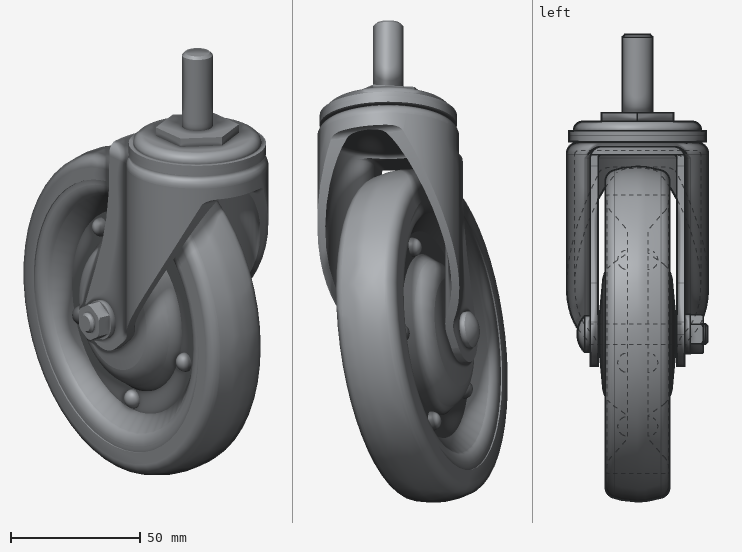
import cadquery as cq
import math


TOTAL_HEIGHT = 181.0
AXLE_RADIUS = 4.0
SHEET = 3.0
LEG_INNER_Y = 15.2
LEG_OUTER_Y = LEG_INNER_Y + SHEET
SEAT_RADIUS = 54.0

TYRE_RADIUS = 65.0
TYRE_HALF_WIDTH = 12.5
TREAD_HALF_WIDTH = 9.0
TREAD_EDGE_RADIUS = 63.5
SIDEWALL_RADIUS = 58.6
SHOULDER_MID = (62.0, 11.4)

WEB_HALF_WIDTH = 4.0
WEB_RADIUS = 40.4
FLANGE_HALF_WIDTH = 12.0
FLANGE_INNER_RADIUS = 51.8
FLANGE_BEND_START = (46.9, 9.6)
FLANGE_BEND_MID = (49.2, 11.4)
HUB_FOOT_RADIUS = 31.5
HUB_BEND_START = (28.6, 8.0)
HUB_BEND_MID = (25.5, 11.5)
HUB_BEND_END = (21.2, 13.4)
BOSS_RADIUS = 7.6
BOSS_FOOT_Y = 14.7
RIVET_COUNT = 5
RIVET_CIRCLE_RADIUS = 35.7
RIVET_RADIUS = 3.8

BOLT_HEAD_RADIUS = 7.0
BOLT_HEAD_RIM = 2.2
BOLT_HEAD_TOP_Y = 23.3
WASHER_RADIUS = 7.6
WASHER_THICKNESS = 2.2
NUT_FLATS = 13.0
NUT_HEIGHT = 5.0
NUT_CHAMFER = 0.5
BOLT_END_Y = -27.1
BOLT_CHAMFER = 0.9

STEM_X = 36.2
SKIRT_RADIUS = 27.5
FLAT_END_X = 12.3
PLATE_EDGE_RADIUS = 37.6
PLATE_TOP_Z = 72.5
PLATE_BOTTOM_Z = PLATE_TOP_Z - SHEET
PLATE_BEND = 4.3
LEG_END_RADIUS = 12.5
LEG_REAR_ANGLE = -52
LEG_LOW_ANGLE = -135
LEG_FRONT_ANGLE = -202
LEG_LINE_END = (-5.5, 19.9)
LEG_CURVE_MID = (1.0, 39.8)
LEG_TOP_X = 3.5
LEG_CURVE_TOP_Z = 65.2
SKIRT_HEM_Z = 64.8
SKIRT_NOTCH_START_X = 62.3
SKIRT_NOTCH_END = (59.2, 62.5)
SKIRT_CURVE_MID = (39.8, 24.0)

SHOULDER_TOP_Z = 74.2
SHOULDER_FILLET = 4.5
SHOULDER_BOTTOM_Z = PLATE_TOP_Z - PLATE_BEND
RING_RADIUS = 26.6
RING_BOTTOM_Z = 74.5
RING_SPLIT_Z = 77.0
RING_TOP_Z = 78.7
CAP_RADIUS = 24.8
CAP_FILLET = 3.6
CAP_TOP_Z = RING_TOP_Z + CAP_FILLET
HEX_FLATS = 28.0
HEX_TOP_Z = 85.8
STEM_RADIUS = 6.0
STEM_CHAMFER = 1.0
STEM_TOP_Z = TOTAL_HEIGHT - TYRE_RADIUS


def hex_diameter(flats):
    """Corner-to-corner size of a hexagon from its size across flats."""
    return flats / math.cos(math.pi / 6)


def revolve_about_y(profile):
    """Close a profile drawn in the XY plane and turn it about the wheel axis."""
    return profile.close().revolve(360, (0, 0, 0), (0, 1, 0))


def cylinder_y(radius, start_y, end_y):
    """Cylinder on the wheel axis between two Y positions."""
    return cq.Workplane("XZ", origin=(0, start_y, 0)).circle(radius).extrude(start_y - end_y)


def make_tyre():
    """Crowned tyre with rounded shoulders."""
    profile = (
        cq.Workplane("XY")
        .moveTo(SEAT_RADIUS, -TYRE_HALF_WIDTH)
        .lineTo(SIDEWALL_RADIUS, -TYRE_HALF_WIDTH)
        .threePointArc((SHOULDER_MID[0], -SHOULDER_MID[1]), (TREAD_EDGE_RADIUS, -TREAD_HALF_WIDTH))
        .threePointArc((TYRE_RADIUS, 0), (TREAD_EDGE_RADIUS, TREAD_HALF_WIDTH))
        .threePointArc(SHOULDER_MID, (SIDEWALL_RADIUS, TYRE_HALF_WIDTH))
        .lineTo(SEAT_RADIUS, TYRE_HALF_WIDTH)
    )
    return revolve_about_y(profile)


def make_rim():
    """Dished wheel with a domed hub, symmetric about its middle plane."""
    half_profile = (
        cq.Workplane("XY")
        .moveTo(AXLE_RADIUS, 0)
        .lineTo(SEAT_RADIUS, 0)
        .lineTo(SEAT_RADIUS, FLANGE_HALF_WIDTH)
        .lineTo(FLANGE_INNER_RADIUS, FLANGE_HALF_WIDTH)
        .threePointArc(FLANGE_BEND_MID, FLANGE_BEND_START)
        .lineTo(WEB_RADIUS, WEB_HALF_WIDTH)
        .lineTo(HUB_FOOT_RADIUS, WEB_HALF_WIDTH)
        .lineTo(*HUB_BEND_START)
        .threePointArc(HUB_BEND_MID, HUB_BEND_END)
        .lineTo(BOSS_RADIUS, BOSS_FOOT_Y)
        .lineTo(BOSS_RADIUS, LEG_INNER_Y)
        .lineTo(AXLE_RADIUS, LEG_INNER_Y)
    )
    half_rim = revolve_about_y(half_profile)
    for index in range(RIVET_COUNT):
        angle = math.radians(-90 + index * 360 / RIVET_COUNT)
        rivet_x = RIVET_CIRCLE_RADIUS * math.cos(angle)
        rivet_z = RIVET_CIRCLE_RADIUS * math.sin(angle)
        head = cq.Workplane("XY", origin=(rivet_x, WEB_HALF_WIDTH, rivet_z)).sphere(RIVET_RADIUS)
        half_rim = half_rim.union(head)
    return half_rim.union(half_rim.mirror("XZ"))


def make_axle_bolt():
    """Round-head bolt with its washer and nut."""
    head_rim_y = LEG_OUTER_Y + BOLT_HEAD_RIM
    dome_height = BOLT_HEAD_TOP_Y - head_rim_y
    dome_radius = (BOLT_HEAD_RADIUS**2 + dome_height**2) / (2 * dome_height)
    dome_mid_radius = BOLT_HEAD_RADIUS / 2
    dome_mid_y = BOLT_HEAD_TOP_Y - dome_radius + math.sqrt(dome_radius**2 - dome_mid_radius**2)
    bolt = revolve_about_y(
        cq.Workplane("XY")
        .moveTo(0, BOLT_END_Y)
        .lineTo(AXLE_RADIUS - BOLT_CHAMFER, BOLT_END_Y)
        .lineTo(AXLE_RADIUS, BOLT_END_Y + BOLT_CHAMFER)
        .lineTo(AXLE_RADIUS, LEG_OUTER_Y)
        .lineTo(BOLT_HEAD_RADIUS, LEG_OUTER_Y)
        .lineTo(BOLT_HEAD_RADIUS, head_rim_y)
        .threePointArc((dome_mid_radius, dome_mid_y), (0, BOLT_HEAD_TOP_Y))
    )

    nut_start_y = -LEG_OUTER_Y - WASHER_THICKNESS
    nut_end_y = nut_start_y - NUT_HEIGHT
    washer = cylinder_y(WASHER_RADIUS, -LEG_OUTER_Y, nut_start_y)

    nut = (
        cq.Workplane("XZ", origin=(0, nut_start_y, 0))
        .polygon(6, hex_diameter(NUT_FLATS))
        .extrude(NUT_HEIGHT)
        .rotate((0, 0, 0), (0, 1, 0), 30)
    )
    nut_blank = cylinder_y(hex_diameter(NUT_FLATS) / 2, nut_start_y, nut_end_y)
    nut = nut.intersect(nut_blank.faces("<Y").chamfer(NUT_CHAMFER))
    return bolt.union(washer).union(nut)


def fork_plan(leg_y, skirt_radius):
    """Keyhole outline seen along Z: two flats, concave bends and a round skirt about the stem."""
    flat_offset = STEM_X - FLAT_END_X
    bend = (flat_offset**2 + leg_y**2 - skirt_radius**2) / (2 * (skirt_radius - leg_y))
    bend_y = leg_y + bend
    ratio = skirt_radius / (skirt_radius + bend)
    touch = (STEM_X - flat_offset * ratio, bend_y * ratio)
    touch_angle = math.atan2(touch[1] - bend_y, touch[0] - FLAT_END_X)
    mid_angle = (touch_angle - math.pi / 2) / 2
    bend_mid = (FLAT_END_X + bend * math.cos(mid_angle), bend_y + bend * math.sin(mid_angle))
    return (
        cq.Workplane("XY", origin=(0, 0, -LEG_END_RADIUS))
        .moveTo(-LEG_END_RADIUS, leg_y)
        .lineTo(FLAT_END_X, leg_y)
        .threePointArc(bend_mid, touch)
        .threePointArc((STEM_X + skirt_radius, 0), (touch[0], -touch[1]))
        .threePointArc((bend_mid[0], -bend_mid[1]), (FLAT_END_X, -leg_y))
        .lineTo(-LEG_END_RADIUS, -leg_y)
        .close()
    )


def leg_end_point(degrees):
    """Point on the round leg end, at an angle about the axle."""
    angle = math.radians(degrees)
    return (LEG_END_RADIUS * math.cos(angle), LEG_END_RADIUS * math.sin(angle))


def fork_side():
    """Block whose XZ outline trims the legs and skirt."""
    plate_edge_x = STEM_X - PLATE_EDGE_RADIUS
    skirt_end_x = STEM_X + SKIRT_RADIUS
    rear_point = leg_end_point(LEG_REAR_ANGLE)
    leg_low_point = leg_end_point(LEG_LOW_ANGLE)
    return (
        cq.Workplane("XZ")
        .moveTo(plate_edge_x, RING_BOTTOM_Z)
        .lineTo(skirt_end_x, RING_BOTTOM_Z)
        .lineTo(skirt_end_x, SKIRT_HEM_Z)
        .lineTo(SKIRT_NOTCH_START_X, SKIRT_HEM_Z)
        .tangentArcPoint(SKIRT_NOTCH_END, relative=False)
        .threePointArc(SKIRT_CURVE_MID, rear_point)
        .threePointArc(leg_low_point, leg_end_point(LEG_FRONT_ANGLE))
        .lineTo(*LEG_LINE_END)
        .threePointArc(LEG_CURVE_MID, (LEG_TOP_X, LEG_CURVE_TOP_Z))
        .lineTo(LEG_TOP_X, PLATE_BOTTOM_Z)
        .lineTo(plate_edge_x, PLATE_BOTTOM_Z)
        .close()
        .extrude(SKIRT_RADIUS, both=True)
    )


def rounded_disc(radius, top_z, fillet):
    """Disc about the stem, up from the foot of the shoulder, with a rounded top edge."""
    disc = cq.Workplane("XY", origin=(STEM_X, 0, SHOULDER_BOTTOM_Z)).circle(radius)
    return disc.extrude(top_z - SHOULDER_BOTTOM_Z).faces(">Z").edges().fillet(fillet)


def make_shoulder():
    """Round top of the skirt, rising above the plate, with a narrow neck under the rings."""
    disc = rounded_disc(SKIRT_RADIUS, SHOULDER_TOP_Z, SHOULDER_FILLET)
    neck = (
        cq.Workplane("XY", origin=(STEM_X, 0, SHOULDER_TOP_Z))
        .circle(SKIRT_RADIUS - SHOULDER_FILLET)
        .extrude(RING_BOTTOM_Z - SHOULDER_TOP_Z)
    )
    return disc.union(neck)


def make_swivel_head():
    """Two bearing rings and a rounded cap turned about the stem, with hexagon and stem."""
    cap_flat = CAP_RADIUS - CAP_FILLET
    diagonal = math.sqrt(0.5)
    cap_mid = (cap_flat + CAP_FILLET * diagonal, RING_TOP_Z + CAP_FILLET * diagonal)
    turned = (
        cq.Workplane("XZ")
        .moveTo(0, RING_BOTTOM_Z)
        .lineTo(RING_RADIUS, RING_BOTTOM_Z)
        .lineTo(RING_RADIUS, RING_SPLIT_Z)
        .lineTo(RING_RADIUS, RING_TOP_Z)
        .lineTo(CAP_RADIUS, RING_TOP_Z)
        .threePointArc(cap_mid, (cap_flat, CAP_TOP_Z))
        .lineTo(0, CAP_TOP_Z)
        .close()
        .revolve(360, (0, 0, 0), (0, 1, 0), clean=False)
    )
    hexagon = (
        cq.Workplane("XY", origin=(0, 0, CAP_TOP_Z))
        .polygon(6, hex_diameter(HEX_FLATS))
        .extrude(HEX_TOP_Z - CAP_TOP_Z)
    )
    stem = (
        cq.Workplane("XY", origin=(0, 0, HEX_TOP_Z))
        .circle(STEM_RADIUS)
        .extrude(STEM_TOP_Z - HEX_TOP_Z)
        .faces(">Z")
        .chamfer(STEM_CHAMFER)
    )
    head = turned.union(hexagon, clean=False).union(stem, clean=False)
    return head.translate((STEM_X, 0, 0))


def make_plate_trim():
    """Material in front of the curved free edge of the top plate."""
    plate_reach = cq.Workplane("XY").circle(PLATE_EDGE_RADIUS).extrude(SHEET)
    trim = cq.Workplane("XY").rect(4 * STEM_X, 4 * STEM_X).extrude(SHEET).cut(plate_reach)
    return trim.translate((STEM_X, 0, PLATE_BOTTOM_Z))


def make_fork():
    """Bent sheet with the swivel head on top."""
    shell = fork_plan(LEG_OUTER_Y, SKIRT_RADIUS).extrude(PLATE_TOP_Z + LEG_END_RADIUS)
    shell = shell.faces(">Z").edges("not <X").fillet(PLATE_BEND).union(make_shoulder())
    cavity = fork_plan(LEG_INNER_Y, SKIRT_RADIUS - SHEET).extrude(PLATE_BOTTOM_Z + LEG_END_RADIUS)
    cavity = cavity.faces(">Z").edges("not <X").fillet(PLATE_BEND - SHEET)
    dome = rounded_disc(SKIRT_RADIUS - SHEET, SHOULDER_TOP_Z - SHEET, SHOULDER_FILLET - SHEET)
    sheet = shell.cut(cavity).cut(dome).intersect(fork_side()).cut(make_plate_trim())
    axle_hole = cylinder_y(AXLE_RADIUS, LEG_OUTER_Y, -LEG_OUTER_Y)
    return sheet.cut(axle_hole).union(make_swivel_head(), clean=False)


tyre = make_tyre()
rim = make_rim()
axle_bolt = make_axle_bolt()
fork = make_fork()

bodies = [tyre, rim, axle_bolt, fork]
result = cq.Compound.makeCompound([body.solids().val() for body in bodies])